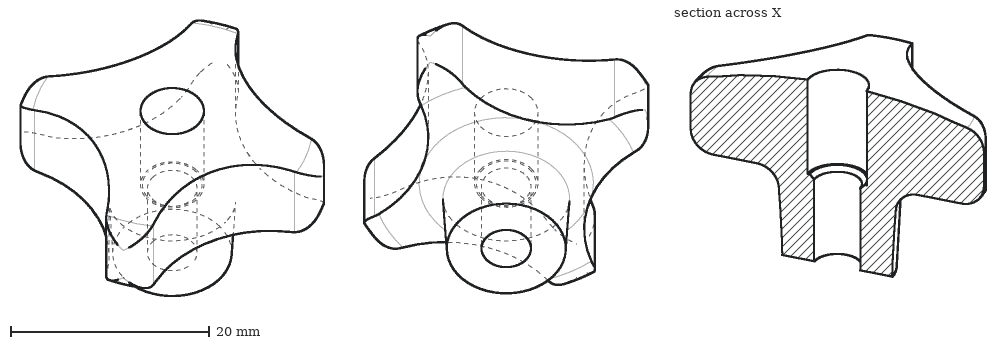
import cadquery as cq
import math

tip_radius = 16.0
height = 20.9
head_bottom = 10.0

lobe_radius = 2.5
edge_radius = 2.5
scallop_radius = 13.0
dome_radius = 50.0
lobe_count = 4

hub_bottom_radius = 6.0
hub_top_radius = 6.4
hub_top = 7.6
flare_radius = head_bottom - hub_top

bore_radius = 2.5
counterbore_radius = 3.2
counterbore_floor = head_bottom
lead_in_radius = 3.0

cut_clearance = 3.2


def rounded_blank():
    """Turned disc with a domed top and rounded outer edges."""
    dome_center = height - math.sqrt(dome_radius**2 - counterbore_radius**2)
    round_center = tip_radius - edge_radius
    inner_dome = dome_radius - edge_radius
    upper_round = dome_center + math.sqrt(inner_dome**2 - round_center**2)
    lower_round = head_bottom + edge_radius
    lean = math.asin(round_center / inner_dome)
    dome_edge = (dome_radius * math.sin(lean), dome_center + dome_radius * math.cos(lean))
    dome_middle = (
        dome_radius * math.sin(lean / 2),
        dome_center + dome_radius * math.cos(lean / 2),
    )
    round_angle = (math.pi / 2 + lean) / 2
    upper_middle = (
        round_center + edge_radius * math.sin(round_angle),
        upper_round + edge_radius * math.cos(round_angle),
    )
    lower_middle = (
        round_center + edge_radius * math.sin(math.pi / 4),
        lower_round - edge_radius * math.cos(math.pi / 4),
    )
    return (
        cq.Workplane("XZ")
        .moveTo(0, head_bottom)
        .lineTo(round_center, head_bottom)
        .threePointArc(lower_middle, (tip_radius, lower_round))
        .lineTo(tip_radius, upper_round)
        .threePointArc(upper_middle, dome_edge)
        .threePointArc(dome_middle, (0, dome_center + dome_radius))
        .close()
        .revolve(360, (0, 0, 0), (0, 1, 0))
    )


def star_prism():
    """Star outline of round lobes joined by tangent hollows."""
    lobe_center = tip_radius - lobe_radius
    reach = lobe_radius + scallop_radius
    hollow_center = (lobe_center + math.sqrt(2 * reach**2 - lobe_center**2)) / 2
    blend = lobe_radius / reach
    along = lobe_center + (hollow_center - lobe_center) * blend
    across = hollow_center * blend
    hollow_middle = hollow_center - scallop_radius / math.sqrt(2)

    def turned(x, y, index):
        angle = index * 2 * math.pi / lobe_count
        return (
            x * math.cos(angle) - y * math.sin(angle),
            x * math.sin(angle) + y * math.cos(angle),
        )

    outline = cq.Workplane("XY").moveTo(along, -across)
    for index in range(lobe_count):
        outline = outline.threePointArc(
            turned(tip_radius, 0, index), turned(along, across, index)
        ).threePointArc(
            turned(hollow_middle, hollow_middle, index), turned(along, -across, index + 1)
        )
    return outline.close().extrude(height + cut_clearance)


def hub():
    """Tapered hub flaring out into the underside of the head."""
    flare_edge = hub_top_radius + flare_radius
    flare_middle = (
        flare_edge - flare_radius * math.cos(math.pi / 4),
        hub_top + flare_radius * math.sin(math.pi / 4),
    )
    return (
        cq.Workplane("XZ")
        .lineTo(hub_bottom_radius, 0)
        .lineTo(hub_top_radius, hub_top)
        .threePointArc(flare_middle, (flare_edge, head_bottom))
        .lineTo(0, head_bottom)
        .close()
        .revolve(360, (0, 0, 0), (0, 1, 0))
    )


def bore():
    """Through hole with a counterbore from the top and a chamfered lead-in at its floor."""
    through = cq.Workplane("XY").circle(bore_radius).extrude(height + cut_clearance)
    counterbore = (
        cq.Workplane("XY", origin=(0, 0, counterbore_floor))
        .circle(counterbore_radius)
        .extrude(height + cut_clearance - counterbore_floor)
    )
    lead_in_depth = lead_in_radius - bore_radius
    lead_in = (
        cq.Workplane("XY", origin=(0, 0, counterbore_floor))
        .circle(lead_in_radius)
        .workplane(offset=-lead_in_depth)
        .circle(bore_radius)
        .loft(ruled=True)
    )
    return through.union(counterbore).union(lead_in)


half_pitch = 180 / lobe_count
blank = rounded_blank().rotate((0, 0, 0), (0, 0, 1), half_pitch)
head = blank.intersect(star_prism())
result = head.union(hub()).cut(bore())